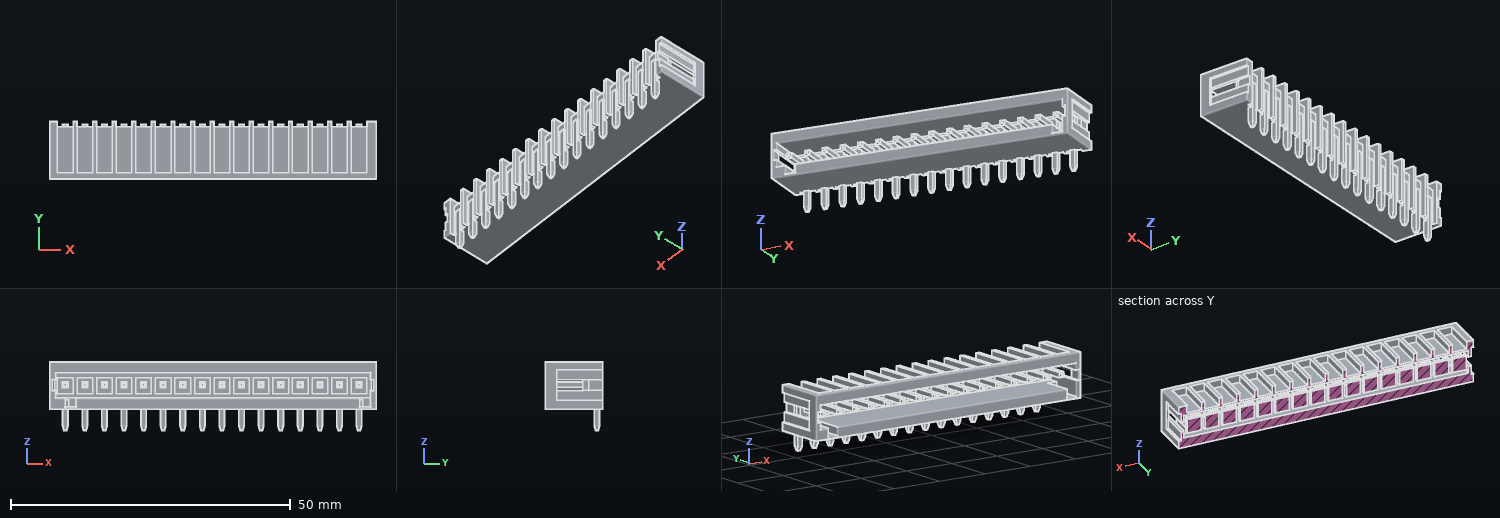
import cadquery as cq

length = 58.4
depth = 10.3
height = 8.5
edge_radius = 0.12

pin_count = 16
pitch = 3.5
first_pin_x = 2.8
pin_size = 1.0
pin_tip_size = 0.48
arm_tip_length = 0.5
tail_tip_length = 0.9
arm_z = 4.4
arm_tip_y = 1.15
tail_y = depth - 1.05
tail_length = 3.8

side_wall = 1.08
cavity_floor_z = 2.05
cavity_top_z = 6.5
cavity_depth = 7.8

boss_width = 2.8
boss_height = 2.9
boss_length = 1.1
boss_z = 4.2

slot_width = 2.8
slot_depth = 1.5
slot_front_y = 1.1
rear_gap = 0.95

recess_depth = 0.45
recess_front_y = 2.1
recess_bottom_z = 1.6
recess_top_z = 7.05
channel_bottom_z = 3.4
channel_top_z = 5.25
channel_depth = 0.9
front_groove_x = 0.55

key_width = 1.9
key_length = 5.9
key_floor_z = 0.45
key_relief_width = 0.58
key_relief_depth = 1.0
key_relief_top_z = 1.72
key_left_edges = (first_pin_x, length - side_wall - key_width)


def block(x0, x1, y0, y1, z0, z1):
    """Box between two opposite corners."""
    return cq.Workplane("XY").box(x1 - x0, y1 - y0, z1 - z0, centered=False).translate((x0, y0, z0))


def mirrored(shape):
    """Copy of a left-side shape on the right side of the housing."""
    return shape.mirror("YZ", (length / 2, 0, 0))


def cavity():
    return block(side_wall, length - side_wall, 0, cavity_depth, cavity_floor_z, cavity_top_z)


def key_groove(left):
    """Keying groove with a narrow relief in the left part of its end wall."""
    relief_right = left + key_relief_width
    relief_end_y = key_length + key_relief_depth
    groove = block(left, left + key_width, 0, key_length, key_floor_z, cavity_floor_z)
    relief = block(left, relief_right, key_length, relief_end_y, key_floor_z, key_relief_top_z)
    return groove.union(relief)


def side_cutouts():
    """Left-side recess, the channel through it and the groove inside the front bar."""
    recess = block(0, recess_depth, recess_front_y, depth, recess_bottom_z, recess_top_z)
    groove = block(front_groove_x, side_wall, 0, recess_front_y, channel_bottom_z, channel_top_z)
    window = block(0, side_wall, recess_front_y, cavity_depth, channel_bottom_z, channel_top_z)
    channel = block(0, channel_depth, cavity_depth, depth, channel_bottom_z, channel_top_z)
    return recess.union(groove).union(window).union(channel)


def contact_cutouts(x):
    """Roof slot and rear gap for the contact at x."""
    left = x - slot_width / 2
    right = x + slot_width / 2
    roof_slot = block(left, right, slot_front_y, depth, height - slot_depth, height)
    gap = block(left, right, depth - rear_gap, depth, 0, height)
    return roof_slot.union(gap)


def contact_boss(x):
    left = x - boss_width / 2
    bottom_z = boss_z - boss_height / 2
    front_y = cavity_depth - boss_length
    return block(left, left + boss_width, front_y, cavity_depth, bottom_z, bottom_z + boss_height)


def housing(contact_positions):
    body = block(0, length, 0, depth, 0, height).edges().fillet(edge_radius)
    body = body.cut(cavity())
    for left in key_left_edges:
        body = body.cut(key_groove(left))
    left_cutouts = side_cutouts()
    body = body.cut(left_cutouts).cut(mirrored(left_cutouts))
    mouth = body.faces("<Y").val().innerWires()[0]
    body = body.newObject(mouth.Edges()).fillet(edge_radius)
    for x in contact_positions:
        body = body.cut(contact_cutouts(x)).union(contact_boss(x))
    return body


def pin_tip(plane, base, tip_length):
    """Tapered pin end, pointing along the normal of the plane."""
    return (
        cq.Workplane(plane, origin=base)
        .rect(pin_size, pin_size)
        .workplane(offset=tip_length)
        .rect(pin_tip_size, pin_tip_size)
        .loft()
    )


def contact(x):
    half = pin_size / 2
    arm_base_y = arm_tip_y + arm_tip_length
    tail_base_z = tail_tip_length - tail_length
    arm = block(x - half, x + half, arm_base_y, tail_y + half, arm_z - half, arm_z + half)
    tail = block(x - half, x + half, tail_y - half, tail_y + half, tail_base_z, arm_z + half)
    arm_tip = pin_tip("XZ", (x, arm_base_y, arm_z), arm_tip_length)
    tail_tip = pin_tip("XY", (x, tail_y, tail_base_z), tail_tip_length).mirror("XY", (0, 0, tail_base_z))
    return arm.union(tail).union(arm_tip).union(tail_tip)


pin_positions = [first_pin_x + index * pitch for index in range(pin_count)]

result = housing(pin_positions)
for pin_x in pin_positions:
    result = result.union(contact(pin_x))